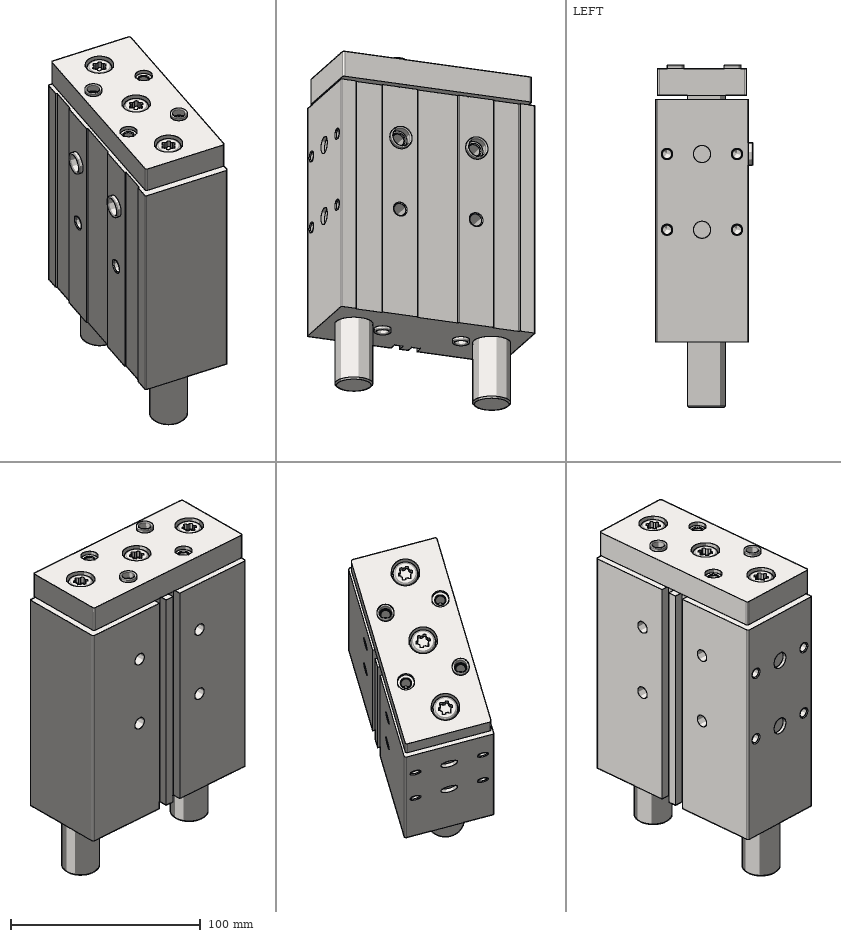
import cadquery as cq


HOUSING_WIDTH = 110.0
HOUSING_DEPTH = 49.0
HOUSING_HEIGHT = 128.0
HOUSING_FRONT_CORNER_RADIUS = 0.5
HOUSING_BACK_CORNER_RADIUS = 1.0
FRONT_Y = -HOUSING_DEPTH / 2
BACK_Y = HOUSING_DEPTH / 2

CHANNEL_DEPTH = 0.7
CHANNEL_SLOPE = 0.5
MIDDLE_CHANNEL_WIDTH = 23.7
SIDE_CHANNEL_INNER_X = 31.6
SIDE_CHANNEL_OUTER_X = 46.6

SENSOR_SLOT_WIDTH = 4.9
SENSOR_SLOT_DEPTH = 4.9
SENSOR_SLOT_X = 4.9

MOUNT_LOWER_Z = 59.3
MOUNT_PITCH_Z = 40.0
MOUNT_UPPER_Z = MOUNT_LOWER_Z + MOUNT_PITCH_Z
FRONT_HOLE_X = 21.5
FRONT_HOLE_DIAMETER = 6.7
FRONT_HOLE_RIM_DIAMETER = 7.8
SIDE_HOLE_Y = 18.5
SIDE_HOLE_DIAMETER = 4.9
SIDE_HOLE_RIM_DIAMETER = 6.0
SIDE_HOLE_DEPTH = 10.0
DRILL_TIP_LENGTH = 1.5
SIDE_RECESS_DIAMETER = 9.0
SIDE_RECESS_DEPTH = 2.0

PLATE_WIDTH = 107.0
PLATE_DEPTH = 47.0
PLATE_THICKNESS = 14.1
PLATE_CORNER_RADIUS = 1.0
PLATE_GAP = 2.2
PLATE_BOTTOM_Z = HOUSING_HEIGHT + PLATE_GAP
PLATE_TOP_Z = PLATE_BOTTOM_Z + PLATE_THICKNESS

GUIDE_ROD_DIAMETER = 20.0
GUIDE_ROD_X = 39.0
GUIDE_ROD_Y = -2.4
GUIDE_ROD_OVERHANG = 34.5
GUIDE_ROD_CHAMFER = 0.9

PISTON_ROD_DIAMETER = 10.0
PISTON_Y = -1.0
PISTON_ROD_INSERTION = 36.2

PLATE_HOLE_X = 19.9
PLATE_HOLE_Y = 15.0
PLATE_HOLE_DIAMETER = 5.0
PLATE_HOLE_RIM_DIAMETER = 6.0

SCREW_RECESS_DIAMETER = 15.0
SCREW_RECESS_DEPTH = 9.0
SCREW_HEAD_DIAMETER = 13.0
SCREW_HEAD_SINK = 1.0
SCREW_HEAD_FILLET = 0.9
SOCKET_DIAMETER = 7.8
SOCKET_CORE_DIAMETER = 5.8
SOCKET_LOBE_WIDTH = 1.8
SOCKET_DEPTH = 3.6
SOCKET_SLOT_COUNT = 3

END_SLEEVE_DIAMETER = 9.0
END_SLEEVE_BORE = 6.7
END_SLEEVE_SEAT_DEPTH = 2.2
END_SLEEVE_PROTRUSION = 2.0
FRONT_SLEEVE_DIAMETER = 12.0
FRONT_SLEEVE_BORE = 9.8
FRONT_SLEEVE_SEAT_DEPTH = 2.7
FRONT_SLEEVE_PROTRUSION = 2.4
BOTTOM_SLEEVE_X = 22.2

UP = cq.Vector(0, 0, 1)
DOWN = cq.Vector(0, 0, -1)
TO_BACK = cq.Vector(0, 1, 0)
TO_FRONT = cq.Vector(0, -1, 0)
TO_RIGHT = cq.Vector(1, 0, 0)


def cylinder(diameter, length, start, direction):
    return cq.Workplane(cq.Solid.makeCylinder(diameter / 2, length, cq.Vector(*start), direction))


def countersink(rim_diameter, hole_diameter, start, direction):
    """A 45 degree cone from the rim of a hole down to its wall."""
    depth = (rim_diameter - hole_diameter) / 2
    cone = cq.Solid.makeCone(rim_diameter / 2, hole_diameter / 2, depth, cq.Vector(*start), direction)
    return cq.Workplane(cone)


def housing_blank():
    return (
        cq.Workplane("XY")
        .rect(HOUSING_WIDTH, HOUSING_DEPTH)
        .extrude(HOUSING_HEIGHT)
        .edges("|Z and <Y")
        .fillet(HOUSING_FRONT_CORNER_RADIUS)
        .edges("|Z and >Y")
        .fillet(HOUSING_BACK_CORNER_RADIUS)
    )


def front_channels():
    floor_y = FRONT_Y + CHANNEL_DEPTH
    half_width = MIDDLE_CHANNEL_WIDTH / 2
    middle = [
        (-half_width, FRONT_Y),
        (half_width, FRONT_Y),
        (half_width - CHANNEL_SLOPE, floor_y),
        (-half_width + CHANNEL_SLOPE, floor_y),
    ]
    side = [
        (SIDE_CHANNEL_INNER_X, FRONT_Y),
        (SIDE_CHANNEL_OUTER_X, FRONT_Y),
        (SIDE_CHANNEL_OUTER_X - CHANNEL_SLOPE, floor_y),
        (SIDE_CHANNEL_INNER_X, floor_y),
    ]
    right_channel = cq.Workplane("XY").polyline(side).close().extrude(HOUSING_HEIGHT)
    middle_channel = cq.Workplane("XY").polyline(middle).close().extrude(HOUSING_HEIGHT)
    return middle_channel.add(right_channel).add(right_channel.mirror("YZ")).combine()


def sensor_slots():
    return (
        cq.Workplane("XY")
        .pushPoints([(-SENSOR_SLOT_X, BACK_Y), (SENSOR_SLOT_X, BACK_Y)])
        .rect(SENSOR_SLOT_WIDTH, 2 * SENSOR_SLOT_DEPTH)
        .extrude(HOUSING_HEIGHT)
    )


def front_hole(x, z):
    start = (x, FRONT_Y, z)
    hole = cylinder(FRONT_HOLE_DIAMETER, HOUSING_DEPTH, start, TO_BACK)
    return hole.union(countersink(FRONT_HOLE_RIM_DIAMETER, FRONT_HOLE_DIAMETER, start, TO_BACK))


def side_hole(y, z):
    """Blind hole with a drill tip, in the -X side."""
    start = (-HOUSING_WIDTH / 2, y, z)
    tip_start = cq.Vector(start[0] + SIDE_HOLE_DEPTH, y, z)
    tip = cq.Solid.makeCone(SIDE_HOLE_DIAMETER / 2, 0, DRILL_TIP_LENGTH, tip_start, TO_RIGHT)
    hole = cylinder(SIDE_HOLE_DIAMETER, SIDE_HOLE_DEPTH, start, TO_RIGHT).union(cq.Workplane(tip))
    return hole.union(countersink(SIDE_HOLE_RIM_DIAMETER, SIDE_HOLE_DIAMETER, start, TO_RIGHT))


def make_housing():
    housing = housing_blank().cut(front_channels()).cut(sensor_slots())

    for z in (MOUNT_LOWER_Z, MOUNT_UPPER_Z):
        for x in (-FRONT_HOLE_X, FRONT_HOLE_X):
            housing = housing.cut(front_hole(x, z))
        for y in (-SIDE_HOLE_Y, SIDE_HOLE_Y):
            housing = housing.cut(side_hole(y, z))
        recess_start = (-HOUSING_WIDTH / 2, 0, z)
        housing = housing.cut(cylinder(SIDE_RECESS_DIAMETER, SIDE_RECESS_DEPTH, recess_start, TO_RIGHT))

    for x in (-FRONT_HOLE_X, FRONT_HOLE_X):
        seat_start = (x, FRONT_Y, MOUNT_UPPER_Z)
        rim_start = (x, FRONT_Y + FRONT_SLEEVE_SEAT_DEPTH, MOUNT_UPPER_Z)
        housing = housing.cut(cylinder(FRONT_SLEEVE_DIAMETER, FRONT_SLEEVE_SEAT_DEPTH, seat_start, TO_BACK))
        housing = housing.cut(countersink(FRONT_HOLE_RIM_DIAMETER, FRONT_HOLE_DIAMETER, rim_start, TO_BACK))

    for x in (-BOTTOM_SLEEVE_X, BOTTOM_SLEEVE_X):
        housing = housing.cut(cylinder(END_SLEEVE_DIAMETER, END_SLEEVE_SEAT_DEPTH, (x, PISTON_Y, 0), UP))

    for x in (-GUIDE_ROD_X, GUIDE_ROD_X):
        housing = housing.cut(cylinder(GUIDE_ROD_DIAMETER, HOUSING_HEIGHT, (x, GUIDE_ROD_Y, 0), UP))
    piston_start = (0, PISTON_Y, HOUSING_HEIGHT)
    return housing.cut(cylinder(PISTON_ROD_DIAMETER, PISTON_ROD_INSERTION, piston_start, DOWN))


def plate_blank():
    return (
        cq.Workplane("XY", origin=(0, 0, PLATE_BOTTOM_Z))
        .rect(PLATE_WIDTH, PLATE_DEPTH)
        .extrude(PLATE_THICKNESS)
        .edges("|Z")
        .fillet(PLATE_CORNER_RADIUS)
    )


def plate_hole(x, y):
    """Through hole below a seat for a centring sleeve."""
    seat_floor_z = PLATE_TOP_Z - END_SLEEVE_SEAT_DEPTH
    seat = cylinder(END_SLEEVE_DIAMETER, END_SLEEVE_SEAT_DEPTH, (x, y, PLATE_TOP_Z), DOWN)
    hole = cylinder(PLATE_HOLE_DIAMETER, PLATE_THICKNESS, (x, y, PLATE_TOP_Z), DOWN)
    rim = countersink(PLATE_HOLE_RIM_DIAMETER, PLATE_HOLE_DIAMETER, (x, y, seat_floor_z), DOWN)
    return seat.union(hole).union(rim)


def screw_head():
    """Screw head with a six-lobed socket, standing on the origin."""
    height = SCREW_RECESS_DEPTH - SCREW_HEAD_SINK
    head = (
        cq.Workplane("XY")
        .circle(SCREW_HEAD_DIAMETER / 2)
        .extrude(height)
        .faces(">Z")
        .edges()
        .fillet(SCREW_HEAD_FILLET)
    )
    socket_plane = cq.Workplane("XY", origin=(0, 0, height))
    socket = socket_plane.circle(SOCKET_CORE_DIAMETER / 2).extrude(-SOCKET_DEPTH)
    for i in range(SOCKET_SLOT_COUNT):
        angle = 90 + i * 180 / SOCKET_SLOT_COUNT
        lobes = socket_plane.slot2D(SOCKET_DIAMETER, SOCKET_LOBE_WIDTH, angle).extrude(-SOCKET_DEPTH)
        socket = socket.union(lobes)
    return head.cut(socket)


def guide_rod(x):
    length = GUIDE_ROD_OVERHANG + PLATE_BOTTOM_Z
    rod = cylinder(GUIDE_ROD_DIAMETER, length, (x, GUIDE_ROD_Y, -GUIDE_ROD_OVERHANG), UP)
    return rod.faces("<Z").chamfer(GUIDE_ROD_CHAMFER)


def make_yoke():
    yoke = plate_blank()
    for x in (-PLATE_HOLE_X, PLATE_HOLE_X):
        for y in (PISTON_Y - PLATE_HOLE_Y, PISTON_Y + PLATE_HOLE_Y):
            yoke = yoke.cut(plate_hole(x, y))

    for x in (-GUIDE_ROD_X, GUIDE_ROD_X):
        yoke = yoke.union(guide_rod(x))
    piston_length = PISTON_ROD_INSERTION + PLATE_GAP
    yoke = yoke.union(cylinder(PISTON_ROD_DIAMETER, piston_length, (0, PISTON_Y, PLATE_BOTTOM_Z), DOWN))

    head = screw_head()
    for x, y in [(-GUIDE_ROD_X, GUIDE_ROD_Y), (0, PISTON_Y), (GUIDE_ROD_X, GUIDE_ROD_Y)]:
        recess = cylinder(SCREW_RECESS_DIAMETER, SCREW_RECESS_DEPTH, (x, y, PLATE_TOP_Z), DOWN)
        yoke = yoke.cut(recess).union(head.translate((x, y, PLATE_TOP_Z - SCREW_RECESS_DEPTH)))
    return yoke


def sleeve(diameter, bore, seat_depth, protrusion, surface_point, outward):
    """Sleeve seated in a surface and standing out of it, its outer end a full round."""
    wall = (diameter - bore) / 2
    end_radius = wall / 2
    bore_radius = bore / 2
    profile = (
        cq.Workplane(cq.Plane(surface_point, xDir=TO_RIGHT, normal=TO_RIGHT.cross(outward)))
        .moveTo(bore_radius, -seat_depth)
        .lineTo(bore_radius + wall, -seat_depth)
        .lineTo(bore_radius + wall, protrusion - end_radius)
        .threePointArc((bore_radius + end_radius, protrusion), (bore_radius, protrusion - end_radius))
        .close()
    )
    return profile.revolve(360, (0, 0), (0, 1))


def end_sleeve(surface_point, outward):
    return sleeve(
        END_SLEEVE_DIAMETER,
        END_SLEEVE_BORE,
        END_SLEEVE_SEAT_DEPTH,
        END_SLEEVE_PROTRUSION,
        surface_point,
        outward,
    )


def front_sleeve(x):
    return sleeve(
        FRONT_SLEEVE_DIAMETER,
        FRONT_SLEEVE_BORE,
        FRONT_SLEEVE_SEAT_DEPTH,
        FRONT_SLEEVE_PROTRUSION,
        (x, FRONT_Y, MOUNT_UPPER_Z),
        TO_FRONT,
    )


housing = make_housing()
yoke = make_yoke()

plate_sleeves = [
    end_sleeve((side * PLATE_HOLE_X, PISTON_Y + side * PLATE_HOLE_Y, PLATE_TOP_Z), UP) for side in (-1, 1)
]
bottom_sleeves = [end_sleeve((side * BOTTOM_SLEEVE_X, PISTON_Y, 0), DOWN) for side in (-1, 1)]
front_sleeves = [front_sleeve(side * FRONT_HOLE_X) for side in (-1, 1)]

sleeves = plate_sleeves + bottom_sleeves + front_sleeves
result = cq.Compound.makeCompound([housing.val(), yoke.val(), *[body.val() for body in sleeves]])